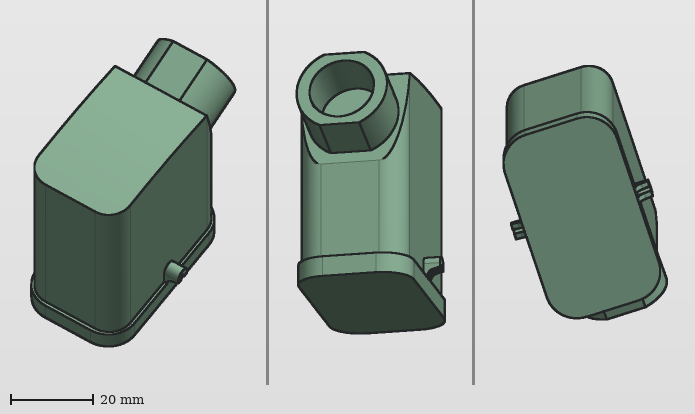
import cadquery as cq
import math

RIM_WIDTH = 28.65
RIM_LENGTH = 48.05
RIM_HEIGHT = 5.0
RIM_CORNER_RADIUS = 7.7

BODY_WIDTH = 26.85
BODY_LENGTH = 46.0
BODY_CORNER_RADIUS = 6.15
CROWN_HEIGHT = 54.0
CROWN_RADIUS = 234.95
CROWN_Y = -9.2

ENTRY_TILT = 15.0
ENTRY_LENGTH = 12.9
ENTRY_DIAMETER = 22.55
ENTRY_ACROSS_FLATS = 20.25
ENTRY_BORE_DIAMETER = 16.05
ENTRY_MAX_Y = 34.7
ENTRY_MAX_Z = 54.6

PEG_SPAN = 35.0
PEG_RADIUS = 2.0
PEG_AXIS_Z = 8.4
PEG_SLOPE = 15.0
PEG_ROOT_RADIUS = 2.0
PEG_SLOT_WIDTH = 1.05

tilt = math.radians(ENTRY_TILT)
half_flats = ENTRY_ACROSS_FLATS / 2
mouth_y = ENTRY_MAX_Y - half_flats * math.sin(tilt)
mouth_z = ENTRY_MAX_Z - half_flats * math.cos(tilt)
mouth_plane = cq.Plane(
    origin=(0, mouth_y, mouth_z),
    xDir=(1, 0, 0),
    normal=(0, math.cos(tilt), math.sin(tilt)),
)


def rounded_block(width, length, height, corner_radius):
    block = cq.Workplane("XY").box(width, length, height, centered=(True, True, False))
    return block.edges("|Z").fillet(corner_radius)


def make_body():
    blank = rounded_block(BODY_WIDTH, BODY_LENGTH, ENTRY_MAX_Z, BODY_CORNER_RADIUS)

    crown = (
        cq.Workplane("YZ")
        .center(CROWN_Y, CROWN_HEIGHT - CROWN_RADIUS)
        .circle(CROWN_RADIUS)
        .extrude(BODY_WIDTH / 2, both=True)
    )

    trim_size = 2 * ENTRY_MAX_Z
    trim = (
        cq.Workplane(mouth_plane)
        .workplane(offset=-ENTRY_LENGTH)
        .rect(trim_size, trim_size)
        .extrude(trim_size)
    )
    return blank.intersect(crown).cut(trim)


def make_cable_entry():
    barrel = (
        cq.Workplane(mouth_plane)
        .circle(ENTRY_DIAMETER / 2)
        .circle(ENTRY_BORE_DIAMETER / 2)
        .extrude(-ENTRY_LENGTH)
    )
    flats = (
        cq.Workplane(mouth_plane)
        .rect(ENTRY_DIAMETER, ENTRY_ACROSS_FLATS)
        .extrude(-ENTRY_LENGTH)
    )
    return barrel.intersect(flats)


def arch(width, axis_z, length):
    """Round-topped bar along +X, starting at X = 0 and standing on the rim top."""
    radius = width / 2
    return (
        cq.Workplane("YZ")
        .moveTo(-radius, RIM_HEIGHT)
        .lineTo(-radius, axis_z)
        .threePointArc((0, axis_z + radius), (radius, axis_z))
        .lineTo(radius, RIM_HEIGHT)
        .close()
        .extrude(length)
    )


def make_peg():
    """Peg on the +X side: round on top, sloped below and curved into the rim."""
    slope = math.radians(PEG_SLOPE)
    tip_x = PEG_SPAN / 2
    rim_x = RIM_WIDTH / 2
    peg_top = PEG_AXIS_Z + PEG_RADIUS

    arc_center_x = rim_x + PEG_ROOT_RADIUS

    def root_arc_point(angle):
        return (
            arc_center_x - PEG_ROOT_RADIUS * math.cos(angle),
            RIM_HEIGHT + PEG_ROOT_RADIUS * math.sin(angle),
        )

    arc_end_angle = math.pi / 2 - slope
    arc_end = root_arc_point(arc_end_angle)
    tip_z = arc_end[1] + (tip_x - arc_end[0]) * math.tan(slope)
    side_profile = (
        cq.Workplane("XZ")
        .moveTo(0, RIM_HEIGHT)
        .lineTo(rim_x, RIM_HEIGHT)
        .threePointArc(root_arc_point(arc_end_angle / 2), arc_end)
        .lineTo(tip_x, tip_z)
        .lineTo(tip_x, peg_top)
        .lineTo(0, peg_top)
        .close()
        .extrude(PEG_RADIUS, both=True)
    )
    peg = arch(2 * PEG_RADIUS, PEG_AXIS_Z, tip_x).intersect(side_profile)

    slot = arch(PEG_SLOT_WIDTH, PEG_AXIS_Z - PEG_SLOT_WIDTH / 2, tip_x)
    return peg.cut(slot)


rim = rounded_block(RIM_WIDTH, RIM_LENGTH, RIM_HEIGHT, RIM_CORNER_RADIUS)
peg = make_peg()

result = (
    rim.union(make_body())
    .union(make_cable_entry())
    .union(peg)
    .union(peg.mirror("YZ"))
)